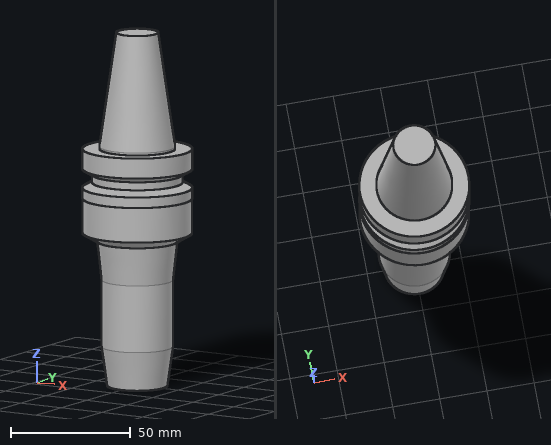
import cadquery as cq
import math

overall_length = 150.0
taper_length = 48.4
gauge_height = overall_length - taper_length
flange_top = gauge_height - 1.0
flange_bottom = gauge_height - 22.0
body_bottom = 64.9
neck_bottom = 45.0
nose_top = 16.7

gauge_diameter = 31.75
flange_diameter = 46.0
body_diameter = 45.9
groove_diameter = 38.0
neck_diameter = 33.6
barrel_diameter = 30.0
nose_diameter = 25.3

taper_ratio = 7.0 / 24.0
small_end_diameter = gauge_diameter - taper_length * taper_ratio

groove_center = gauge_height - 13.5
groove_width = 8.0
flank_slope = math.tan(math.radians(30.0))


def make_body():
    """Taper, flange, neck, barrel and nose turned about the Z axis."""
    nose_low = (nose_diameter / 2, 0.0)
    nose_high = (barrel_diameter / 2, nose_top)
    neck_low = (barrel_diameter / 2, neck_bottom)
    neck_top = body_bottom - (body_diameter - neck_diameter) / 2 * flank_slope
    neck_high = (neck_diameter / 2, neck_top)
    profile = (
        cq.Workplane("XZ")
        .moveTo(0.0, 0.0)
        .lineTo(*nose_low)
        .lineTo(*nose_high)
        .lineTo(*neck_low)
        .lineTo(*neck_high)
        .lineTo(body_diameter / 2, body_bottom)
        .lineTo(body_diameter / 2, flange_bottom)
        .lineTo(flange_diameter / 2, flange_bottom)
        .lineTo(flange_diameter / 2, flange_top)
        .lineTo(gauge_diameter / 2, flange_top)
        .lineTo(gauge_diameter / 2, gauge_height)
        .lineTo(small_end_diameter / 2, overall_length)
        .lineTo(0.0, overall_length)
        .close()
    )
    return profile.revolve(360.0, (0, 0, 0), (0, 1, 0))


def make_groove():
    """Ring with a trapezoid section that cuts the gripper groove."""
    rim_radius = flange_diameter / 2
    floor_radius = groove_diameter / 2
    rim_half_width = groove_width / 2
    floor_half_width = rim_half_width - (rim_radius - floor_radius) * flank_slope
    section = (
        cq.Workplane("XZ")
        .moveTo(rim_radius, groove_center - rim_half_width)
        .lineTo(floor_radius, groove_center - floor_half_width)
        .lineTo(floor_radius, groove_center + floor_half_width)
        .lineTo(rim_radius, groove_center + rim_half_width)
        .close()
    )
    return section.revolve(360.0, (0, 0, 0), (0, 1, 0))


result = make_body().cut(make_groove())